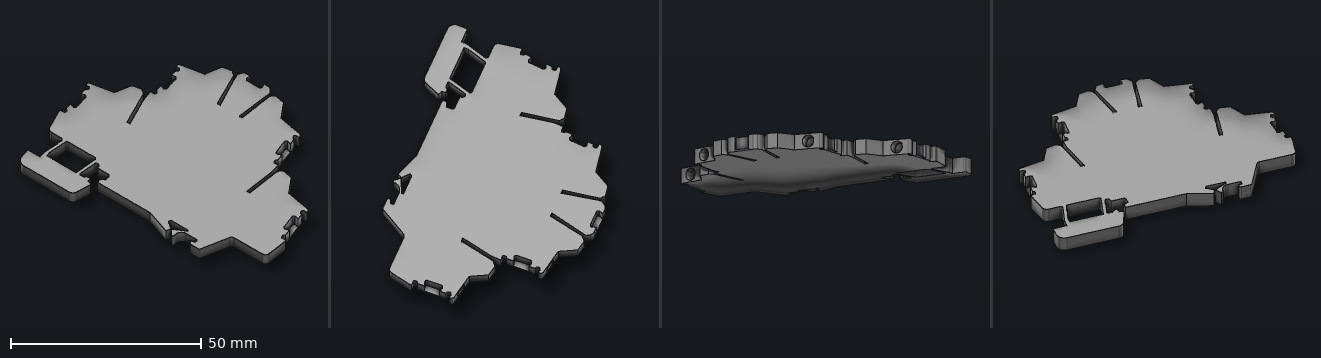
import cadquery as cq
import math

THICKNESS = 4.2
HALF_WIDTH = 36.5
HEIGHT = 58.5
TOP_Y = HEIGHT / 2
FOOT_BOTTOM_Y = -HEIGHT / 2
BODY_BOTTOM_Y = -16.15
RAIL_Y = -22.35
TIER_STEP_X = 15.85
TIER_STEP_Y = 18.7

POCKET_FLOOR = 0.45
POCKET_MOUTH = 4.25
POCKET_WIDTH = 5.0
POCKET_FLARE_DEPTH = 1.2
POCKET_DEPTH = 1.75
POCKET_CORNER = 0.45

FLANK_BOTTOM = (-35.5, -7.6)
FLANK_TOP = (-35.1, 0.45)
FLANK_POCKET_Y = -3.5

SHOULDER_OUTER = (-35.8, 2.7)
SHOULDER_INNER = (-28.2, 4.1)
WIRE_HOLE_DIAMETER = 3.2
WIRE_HOLE_DEPTH = 2.9
WIRE_HOLE_POSITION = 0.5


def rounded_outline(corners):
    """Closed wire through (x, y) or (x, y, radius) corners; a radius rounds its corner."""
    stretches = []
    for i, corner in enumerate(corners):
        point = cq.Vector(corner[0], corner[1])
        if len(corner) == 2:
            stretches.append([point])
            continue
        before = corners[i - 1]
        after = corners[(i + 1) % len(corners)]
        to_before = (cq.Vector(before[0], before[1]) - point).normalized()
        to_after = (cq.Vector(after[0], after[1]) - point).normalized()
        half_angle = to_before.getAngle(to_after) / 2
        radius = corner[2]
        tangent = radius / math.tan(half_angle)
        sagitta = radius / math.sin(half_angle) - radius
        middle = point + (to_before + to_after).normalized() * sagitta
        stretches.append([point + to_before * tangent, middle, point + to_after * tangent])

    path = cq.Workplane("XY").moveTo(*stretches[0][-1].toTuple()[:2])
    for stretch in stretches[1:] + stretches[:1]:
        path = path.lineTo(*stretch[0].toTuple()[:2])
        if len(stretch) == 3:
            path = path.threePointArc(stretch[1].toTuple()[:2], stretch[2].toTuple()[:2])
    return path.close()


def moved(corners, dx, dy):
    return [(c[0] + dx, c[1] + dy, *c[2:]) for c in corners]


def mirrored(corners):
    """Corners mirrored left to right, in reverse order so that the path runs on."""
    return [(-c[0], *c[1:]) for c in reversed(corners)]


tier = [
    (-HALF_WIDTH, -8.85),
    (-35.0, -8.85, 0.4),
    (-35.0, -7.9, 0.3),
    FLANK_BOTTOM,
    FLANK_TOP,
    (-34.4, 0.6, 0.45),
    (-34.35, 1.7, 0.45),
    (-35.8, 1.7),
    (*SHOULDER_OUTER, 0.8),
    SHOULDER_INNER,
    (-25.8, 8.6),
    (-22.9, 9.2),
    (-21.7, 8.2),
    (-19.9, -1.8),
    (-18.9, -1.8),
]

left_side = [
    (-35.3, BODY_BOTTOM_Y, 1.45),
    (-HALF_WIDTH, -9.6),
    *tier,
    (-20.6, 7.0),
    *moved(tier, TIER_STEP_X, TIER_STEP_Y),
    (-5.3, 27.6, 0.7),
    (-4.25, TOP_Y, 1.3),
]

right_rail_hook = [
    (24.3, BODY_BOTTOM_Y, 1.2),
    (19.7, -24.55, 0.3),
    (16.5, -24.55, 0.45),
    (16.3, -23.7),
    (17.5, -23.2),
    (17.5, RAIL_Y),
]

spring_clip = [
    (11.8, RAIL_Y, 2.1),
    (11.8, -25.05, 0.45),
    (11.1, -25.05),
    (9.9, -23.5),
    (13.7, -21.55),
    (13.7, -21.2),
    (8.2, -21.2, 0.3),
    (7.75, -21.8, 0.3),
    (9.7, -23.45),
    (9.05, -24.8),
    (2.2, RAIL_Y),
]

latch_recess = [
    (-14.8, RAIL_Y),
    (-14.8, -21.1),
    (-13.5, -20.45),
    (-13.5, -18.55, 0.45),
    (-17.5, -18.55),
    (-17.75, -17.4, 0.6),
    (-18.8, -17.4, 0.45),
    (-20.25, -23.0, 0.4),
    (-18.7, -23.0),
    (-18.0, RAIL_Y),
    (-17.0, RAIL_Y),
    (-17.0, -23.45),
]

latch_foot = [
    (-15.85, -23.8),
    (-15.9, -24.2),
    (-17.8, FOOT_BOTTOM_Y, 1.9),
    (-35.95, FOOT_BOTTOM_Y, 2.3),
    (-35.95, -24.3, 0.4),
    (-32.0, -24.3),
    (-32.0, -22.8),
    (-30.2, BODY_BOTTOM_Y, 0.6),
]

outline = left_side + mirrored(left_side) + right_rail_hook + spring_clip + latch_recess + latch_foot
body = rounded_outline(outline).extrude(THICKNESS)

window = [
    (-29.15, BODY_BOTTOM_Y, 0.45),
    (-19.5, BODY_BOTTOM_Y, 0.45),
    (-21.25, -23.0, 0.3),
    (-30.7, -23.0),
    (-30.7, -21.7),
]
body = body.cut(rounded_outline(window).extrude(THICKNESS))


def marker_pocket(x, y, angle):
    """Dovetail pocket running in along +Y from its mouth at the origin, then turned and placed."""
    half = [
        (POCKET_MOUTH / 2, 0),
        (POCKET_WIDTH / 2, POCKET_FLARE_DEPTH),
        (POCKET_WIDTH / 2 - POCKET_CORNER / 2, POCKET_DEPTH, POCKET_CORNER),
    ]
    pocket = rounded_outline(half + mirrored(half)).extrude(THICKNESS)
    return pocket.rotate((0, 0, 0), (0, 0, 1), angle).translate((x, y, POCKET_FLOOR))


flank_slope = (FLANK_TOP[0] - FLANK_BOTTOM[0]) / (FLANK_TOP[1] - FLANK_BOTTOM[1])
flank_tilt = math.degrees(math.atan(flank_slope))
flank_pocket_x = FLANK_BOTTOM[0] + flank_slope * (FLANK_POCKET_Y - FLANK_BOTTOM[1])


def wire_hole():
    """Blind round hole bored square to the shoulder of the lower left tier."""
    outer = cq.Vector(*SHOULDER_OUTER, THICKNESS / 2)
    inner = cq.Vector(*SHOULDER_INNER, THICKNESS / 2)
    along = inner - outer
    inward = cq.Vector(along.y, -along.x, 0)
    centre = outer + along * WIRE_HOLE_POSITION
    return cq.Workplane(cq.Solid.makeCylinder(WIRE_HOLE_DIAMETER / 2, WIRE_HOLE_DEPTH, centre, inward))


left_cuts = marker_pocket(flank_pocket_x, FLANK_POCKET_Y, -90 - flank_tilt).union(wire_hole())
for step in range(2):
    tier_cuts = left_cuts.translate((step * TIER_STEP_X, step * TIER_STEP_Y, 0))
    body = body.cut(tier_cuts).cut(tier_cuts.mirror("YZ"))

result = body.cut(marker_pocket(0, TOP_Y, 180))